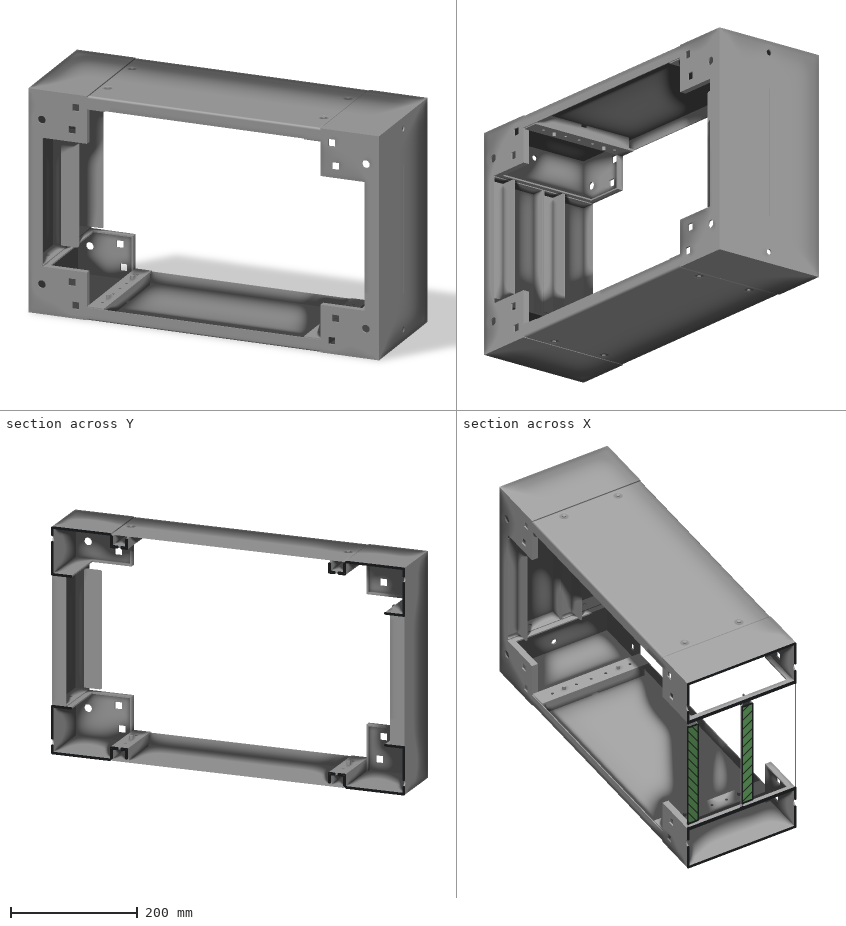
import cadquery as cq
frame_length = 600.0
frame_depth = 200.0
frame_height = 375.0
thin_sheet = 1.5
thick_sheet = 2.5

half_length = frame_length / 2
half_depth = frame_depth / 2
half_height = frame_height / 2

corner_length = 100.0
corner_height = 80.0
wall_lip = 11.0
end_lip = 33.5
cable_hole_diameter = 9.5
cable_hole_drop = 19.0
round_hole_diameter = 13.0
round_hole_inset = 23.0
round_hole_drop = 50.0
square_hole_side = 12.0
square_hole_places = [(19.0, 21.9), (26.0, 60.0)]

cover_length = frame_length - 2 * corner_length
cover_side_height = 21.0
cover_end_height = 23.0
bend_radius = 3.5
channel_width = 29.0
channel_thickness = 3.5
channel_lip_length = 180.0
lip_notch_width = 12.0
lip_notch_height = 4.0
channel_hole_diameter = 5.0
channel_hole_offsets = [-71.5, -27.0, 0.0, 27.0, 71.5]

stud_diameter = 6.0
stud_rise = 1.0
stud_drop = 29.0
stud_inset = 15.0
stud_offset = frame_depth / 4
countersink_diameter = 17.0
countersink_floor_diameter = 11.0
countersink_depth = 0.9

panel_gap = 1.0
panel_width = (frame_depth - panel_gap) / 2
panel_height = frame_height - 2 * corner_height
panel_flange = 24.5
panel_hole_diameter = 6.0
panel_hole_inset = 12.5
fin_offset = 20.0
fin_reach = 53.5
fin_height = 197.0
fin_corner_radius = 3.5


def block(x_range, y_range, z_range):
    """Box spanning the given coordinate ranges."""
    lengths = [high - low for low, high in (x_range, y_range, z_range)]
    start = (x_range[0], y_range[0], z_range[0])
    return cq.Workplane("XY").box(*lengths, centered=False).translate(start)


def placed(body, x_side, z_side):
    """Copy of a body made for the +X, +Z quarter, mirrored to the chosen quarter."""
    if x_side < 0:
        body = body.mirror("YZ")
    if z_side < 0:
        body = body.mirror("XY")
    return body


def make_corner():
    """Upper +X corner: an open sheet-metal box with lips along its free edges."""
    x_inner = half_length - corner_length
    z_low = half_height - corner_height
    y_inside = half_depth - thick_sheet
    outside = block((x_inner, half_length), (-half_depth, half_depth), (z_low, half_height))
    cavity = block(
        (x_inner, half_length - thick_sheet), (-y_inside, y_inside), (z_low, half_height - thick_sheet)
    )
    corner = outside.cut(cavity)

    corner = corner.union(
        block((half_length - end_lip, half_length), (-half_depth, half_depth), (z_low, z_low + thick_sheet))
    )
    for wall in (-1, 1):
        y_range = sorted((wall * half_depth, wall * (half_depth - wall_lip)))
        corner = corner.union(block((x_inner, half_length), y_range, (z_low, z_low + thick_sheet)))
        corner = corner.union(block((x_inner, x_inner + thick_sheet), y_range, (z_low, half_height)))

    walls = cq.Workplane("XZ", origin=(0, half_depth, 0))
    corner = corner.cut(
        walls.center(half_length - round_hole_inset, half_height - round_hole_drop)
        .circle(round_hole_diameter / 2)
        .extrude(frame_depth)
    )
    for inset, drop in square_hole_places:
        corner = corner.cut(
            walls.center(x_inner + inset, half_height - drop)
            .rect(square_hole_side, square_hole_side)
            .extrude(frame_depth)
        )

    return corner.cut(
        cq.Workplane("YZ", origin=(half_length - thick_sheet, 0, half_height - cable_hole_drop))
        .circle(cable_hole_diameter / 2)
        .extrude(thick_sheet)
    )


def make_end_channel():
    """Folded channel below the +X end of the upper cover."""
    x_end = cover_length / 2
    x_lip = x_end - channel_width
    y_inside = half_depth - thin_sheet
    z_low = half_height - cover_end_height
    z_under = half_height - thin_sheet
    end_wall = block(
        (x_end - channel_thickness, x_end), (-y_inside, y_inside), (z_low, half_height - bend_radius)
    )
    shelf = block((x_lip, x_end), (-y_inside, y_inside), (z_low, z_low + channel_thickness))
    lip = block(
        (x_lip, x_lip + channel_thickness),
        (-channel_lip_length / 2, channel_lip_length / 2),
        (z_low, z_under),
    )
    notch = block(
        (x_lip, x_lip + channel_thickness),
        (-lip_notch_width / 2, lip_notch_width / 2),
        (z_under - lip_notch_height, z_under),
    )
    holes = (
        cq.Workplane("XY", origin=(x_end - stud_inset, 0, z_low))
        .pushPoints([(0, y) for y in channel_hole_offsets])
        .circle(channel_hole_diameter / 2)
        .extrude(channel_thickness)
    )
    return end_wall.union(shelf).union(lip).cut(notch).cut(holes)


def make_cover():
    """Upper cover: shallow sheet-metal tray open downwards, with an end channel and two studs at each end."""
    z_low = half_height - cover_side_height
    outside = block(
        (-cover_length / 2, cover_length / 2), (-half_depth, half_depth), (z_low, half_height)
    ).edges(">Z").fillet(bend_radius)
    cavity = block(
        (-cover_length / 2 + thin_sheet, cover_length / 2 - thin_sheet),
        (-half_depth + thin_sheet, half_depth - thin_sheet),
        (z_low, half_height - thin_sheet),
    )
    cover = outside.cut(cavity)

    channel = make_end_channel()
    cover = cover.union(channel).union(channel.mirror("YZ"))

    stud_x = cover_length / 2 - stud_inset
    for x in (-stud_x, stud_x):
        for y in (-stud_offset, stud_offset):
            countersink = (
                cq.Workplane("XY", origin=(x, y, half_height))
                .circle(countersink_diameter / 2)
                .workplane(offset=-countersink_depth)
                .circle(countersink_floor_diameter / 2)
                .loft()
            )
            stud = (
                cq.Workplane("XY", origin=(x, y, half_height - stud_drop))
                .circle(stud_diameter / 2)
                .extrude(stud_drop + stud_rise)
            )
            cover = cover.cut(countersink).union(stud)
    return cover


def make_panel():
    """+X side panel: flanged sheet-metal tray whose +Y flange is folded on into a stiffening fin."""
    x_flange = half_length - panel_flange
    z_top = panel_height / 2
    tray = block((x_flange, half_length), (0, panel_width), (-z_top, z_top))
    cavity = block(
        (x_flange, half_length - thin_sheet),
        (thin_sheet, panel_width - thin_sheet),
        (-z_top + thin_sheet, z_top - thin_sheet),
    )
    holes = (
        cq.Workplane("XY", origin=(half_length - panel_hole_inset, panel_width / 2, -z_top))
        .circle(panel_hole_diameter / 2)
        .extrude(panel_height)
    )
    y_fin = panel_width - fin_offset
    fold = block((x_flange, x_flange + thin_sheet), (y_fin, panel_width), (-fin_height / 2, fin_height / 2))
    fin = block(
        (half_length - fin_reach, x_flange + thin_sheet),
        (y_fin, y_fin + thin_sheet),
        (-fin_height / 2, fin_height / 2),
    ).edges("<X and |Y").fillet(fin_corner_radius)
    return tray.cut(cavity).cut(holes).union(fold).union(fin)


corner_shape = make_corner()
corners = [placed(corner_shape, x_side, z_side) for x_side in (-1, 1) for z_side in (-1, 1)]

cover_shape = make_cover()
covers = [placed(cover_shape, 1, z_side) for z_side in (-1, 1)]

panel_shape = make_panel()
panel_starts = (-half_depth, panel_gap / 2)
panels = [placed(panel_shape.translate((0, y, 0)), x_side, 1) for x_side in (-1, 1) for y in panel_starts]

result = cq.Compound.makeCompound([body.val() for body in corners + covers + panels])